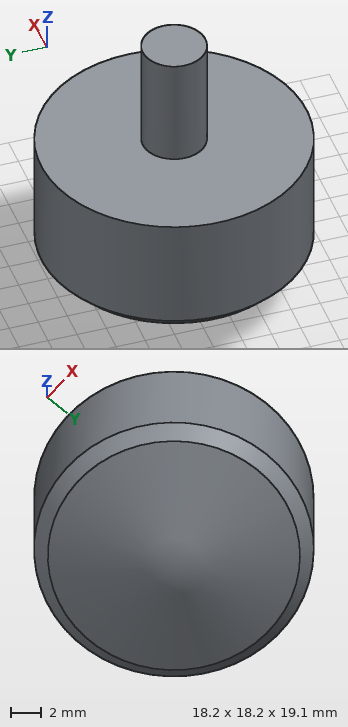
import cadquery as cq

body_diameter = 18.2
pin_diameter = 4.3
total_height = 19.1
pin_length = 7.8
body_length = 7.9
bevel_height = 0.95
bevel_width = 0.9

body_radius = body_diameter / 2
pin_radius = pin_diameter / 2
cone_radius = body_radius - bevel_width

shoulder_z = total_height - pin_length
bevel_top_z = shoulder_z - body_length
cone_top_z = bevel_top_z - bevel_height


def make_part():
    """Revolve the half profile about Z: shallow cone, bevel, body and pin."""
    half_profile = (
        cq.Workplane("XZ")
        .moveTo(0, 0)
        .lineTo(cone_radius, cone_top_z)
        .lineTo(body_radius, bevel_top_z)
        .lineTo(body_radius, shoulder_z)
        .lineTo(pin_radius, shoulder_z)
        .lineTo(pin_radius, total_height)
        .lineTo(0, total_height)
        .close()
    )
    return half_profile.revolve(360, (0, 0, 0), (0, 1, 0))


result = make_part()